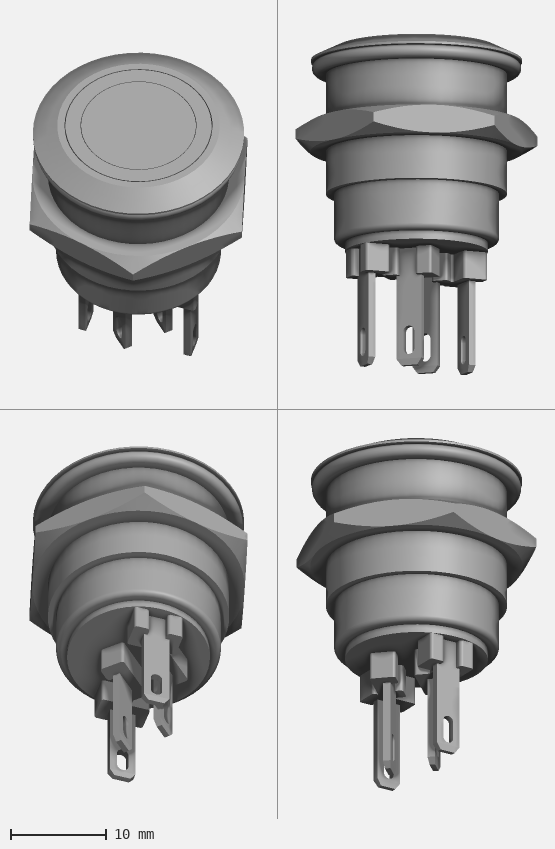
import cadquery as cq
import math

TOP = 34.15
BEZEL_RIM_TOP = 32.92
BEZEL_RIM_BOTTOM = 32.68
GASKET_BOTTOM = 31.35
NUT_TOP = 26.15
NUT_THICKNESS = 2.97
BARREL_BOTTOM = 18.65
REAR_BOTTOM = 13.42
BASE_BOTTOM = 12.55
HOLDER_BOTTOM = 9.63

BEZEL_RADIUS = 11.05
FACE_RADIUS = 8.5
BARREL_RADIUS = 9.5
REAR_RADIUS = 8.65
BASE_RADIUS = 7.48
REAR_EDGE_FILLET = 0.55

RING_OUTER_RADIUS = 7.65
RING_INNER_RADIUS = 6.08
RING_OUTER_GAP = 0.1
RING_INNER_GAP = 0.07
RING_DEPTH = 1.02

GASKET_RADIUS = 10.95

NUT_ACROSS_FLATS = 22.23
NUT_TURN = -15
NUT_CHAMFER_ANGLE = 30

TERMINAL_WIDTH = 2.8
TERMINAL_THICKNESS = 0.8
TIP_HEIGHT = 0.7
TIP_SIDE_BEVEL = 0.5
TIP_FACE_BEVEL = 0.1
SLOT_LENGTH = 3.0
SLOT_WIDTH = 1.23
SLOT_BOTTOM = 0.95
OUTER_TERMINAL_X = 5.77
FRONT_TERMINAL_XY = -1.33
BACK_TERMINAL_XY = 2.05
INNER_TIP_Z = 0.1
INNER_SLOT_RISE = 0.2

OUTER_HOLDER_WIDTH = 5.33
INNER_HOLDER_WIDTH = 5.6
HOLDER_OPEN_DEPTH = 1.23
HOLDER_BACK_DEPTH = 1.55
HOLDER_CORNER = 0.3
OPENING_WIDTH = 1.95
OPENING_CORNER = 0.38
RIB_WIDTH = 1.02
HOLDER_JOINT_FILLET = 0.2

OUTER_TERMINALS = [(-OUTER_TERMINAL_X, 0, 180), (OUTER_TERMINAL_X, 0, 0)]
INNER_TERMINALS = [(FRONT_TERMINAL_XY, FRONT_TERMINAL_XY, 225), (BACK_TERMINAL_XY, BACK_TERMINAL_XY, 225)]


def cylinder(radius, bottom, top):
    return cq.Workplane("XY").workplane(offset=bottom).circle(radius).extrude(top - bottom)


def tube(outer_radius, inner_radius, bottom, top):
    return cylinder(outer_radius, bottom, top).cut(cylinder(inner_radius, bottom, top))


def make_terminal(tip_z, slot_rise):
    """Flat blade standing at the origin with its faces across X, tapered tip down, and an eyelet slot."""
    shoulder_z = tip_z + TIP_HEIGHT
    blade = (
        cq.Workplane("XY")
        .workplane(offset=shoulder_z)
        .rect(TERMINAL_THICKNESS, TERMINAL_WIDTH)
        .extrude(BASE_BOTTOM - shoulder_z)
    )
    tip = (
        cq.Workplane("XY")
        .workplane(offset=tip_z)
        .rect(TERMINAL_THICKNESS - 2 * TIP_FACE_BEVEL, TERMINAL_WIDTH - 2 * TIP_SIDE_BEVEL)
        .workplane(offset=TIP_HEIGHT)
        .rect(TERMINAL_THICKNESS, TERMINAL_WIDTH)
        .loft(ruled=True)
    )
    slot_center_z = tip_z + SLOT_BOTTOM + slot_rise + SLOT_LENGTH / 2
    slot = (
        cq.Workplane("YZ")
        .center(0, slot_center_z)
        .slot2D(SLOT_LENGTH, SLOT_WIDTH, 90)
        .extrude(TERMINAL_THICKNESS, both=True)
    )
    return blade.union(tip).cut(slot)


def holder_bar(x_min, x_max, width):
    """Bar over the full holder height, centred on the X axis."""
    return (
        cq.Workplane("XY")
        .workplane(offset=HOLDER_BOTTOM)
        .center((x_min + x_max) / 2, 0)
        .rect(x_max - x_min, width)
        .extrude(BASE_BOTTOM - HOLDER_BOTTOM)
    )


def make_holder(width):
    """C-shaped block around a terminal at the origin, open toward +X."""
    block = holder_bar(-HOLDER_BACK_DEPTH, HOLDER_OPEN_DEPTH, width).edges("|Z").fillet(HOLDER_CORNER)
    opening = holder_bar(0, HOLDER_OPEN_DEPTH, OPENING_WIDTH)
    mouth_edges = cq.selectors.BoxSelector(
        (HOLDER_OPEN_DEPTH / 2, -OPENING_WIDTH, HOLDER_BOTTOM),
        (HOLDER_OPEN_DEPTH * 2, OPENING_WIDTH, BASE_BOTTOM),
    )
    return block.cut(opening).edges("|Z").edges(mouth_edges).fillet(OPENING_CORNER)


def place(part, x, y, facing):
    return part.rotate((0, 0, 0), (0, 0, 1), facing).translate((x, y, 0))


def make_holders():
    """The four holders joined into one block, with a rib tying the -X holder to the inner ones."""
    holder_inner_x = OUTER_TERMINAL_X - HOLDER_BACK_DEPTH
    holders = holder_bar(-OUTER_TERMINAL_X + HOLDER_BACK_DEPTH / 2, FRONT_TERMINAL_XY, RIB_WIDTH)
    holders = holders.cut(place(holder_bar(0, HOLDER_OPEN_DEPTH, OPENING_WIDTH), *INNER_TERMINALS[0]))
    for location in OUTER_TERMINALS:
        holders = holders.union(place(make_holder(OUTER_HOLDER_WIDTH), *location))
    for location in INNER_TERMINALS:
        holders = holders.union(place(make_holder(INNER_HOLDER_WIDTH), *location))

    joint_y = holder_inner_x - INNER_HOLDER_WIDTH / math.sqrt(2)
    joint_z = (HOLDER_BOTTOM + BASE_BOTTOM) / 2
    joint = cq.selectors.NearestToPointSelector((holder_inner_x, joint_y, joint_z))
    return holders.edges("|Z").edges(joint).fillet(HOLDER_JOINT_FILLET)


def make_housing():
    bezel = cylinder(BEZEL_RADIUS, BEZEL_RIM_BOTTOM, BEZEL_RIM_TOP)
    cone = cq.Workplane(
        cq.Solid.makeCone(BEZEL_RADIUS, FACE_RADIUS, TOP - BEZEL_RIM_TOP, pnt=cq.Vector(0, 0, BEZEL_RIM_TOP))
    )
    barrel = cylinder(BARREL_RADIUS, BARREL_BOTTOM, BEZEL_RIM_BOTTOM)
    rear = cylinder(REAR_RADIUS, REAR_BOTTOM, BARREL_BOTTOM).faces("<Z").edges().fillet(REAR_EDGE_FILLET)
    base = cylinder(BASE_RADIUS, BASE_BOTTOM, REAR_BOTTOM)
    body = bezel.union(cone).union(barrel).union(rear).union(base)

    groove_outer_radius = RING_OUTER_RADIUS + RING_OUTER_GAP
    groove_inner_radius = RING_INNER_RADIUS - RING_INNER_GAP
    body = body.cut(tube(groove_outer_radius, groove_inner_radius, TOP - RING_DEPTH, TOP))

    body = body.union(make_holders())
    for location in OUTER_TERMINALS:
        body = body.union(place(make_terminal(0, 0), *location))
    for location in INNER_TERMINALS:
        body = body.union(place(make_terminal(INNER_TIP_Z, INNER_SLOT_RISE), *location))
    return body


def make_light_ring():
    return tube(RING_OUTER_RADIUS, RING_INNER_RADIUS, TOP - RING_DEPTH, TOP)


def make_gasket():
    """Flat ring with a fully rounded outer edge."""
    round_radius = (BEZEL_RIM_BOTTOM - GASKET_BOTTOM) / 2
    round_center_r = GASKET_RADIUS - round_radius
    profile = (
        cq.Workplane("XZ")
        .moveTo(BARREL_RADIUS, GASKET_BOTTOM)
        .lineTo(round_center_r, GASKET_BOTTOM)
        .threePointArc((GASKET_RADIUS, GASKET_BOTTOM + round_radius), (round_center_r, BEZEL_RIM_BOTTOM))
        .lineTo(BARREL_RADIUS, BEZEL_RIM_BOTTOM)
        .close()
    )
    return profile.revolve(360, (0, 0, 0), (0, 1, 0))


def make_nut():
    """Hexagonal nut whose corners are chamfered by a cone on both sides."""
    corner_radius = NUT_ACROSS_FLATS / 2 / math.cos(math.radians(30))
    flat_radius = NUT_ACROSS_FLATS / 2
    chamfer_height = (corner_radius - flat_radius) * math.tan(math.radians(NUT_CHAMFER_ANGLE))
    nut_bottom = NUT_TOP - NUT_THICKNESS
    hexagon = (
        cq.Workplane("XY")
        .workplane(offset=nut_bottom)
        .polygon(6, 2 * corner_radius)
        .extrude(NUT_THICKNESS)
        .rotate((0, 0, 0), (0, 0, 1), NUT_TURN)
    )
    envelope = (
        cq.Workplane("XZ")
        .moveTo(0, nut_bottom)
        .lineTo(flat_radius, nut_bottom)
        .lineTo(corner_radius, nut_bottom + chamfer_height)
        .lineTo(corner_radius, NUT_TOP - chamfer_height)
        .lineTo(flat_radius, NUT_TOP)
        .lineTo(0, NUT_TOP)
        .close()
        .revolve(360, (0, 0, 0), (0, 1, 0))
    )
    return hexagon.intersect(envelope).cut(cylinder(BARREL_RADIUS, nut_bottom, NUT_TOP))


housing = make_housing()
light_ring = make_light_ring()
gasket = make_gasket()
nut = make_nut()

result = cq.Compound.makeCompound([housing.val(), light_ring.val(), gasket.val(), nut.val()])